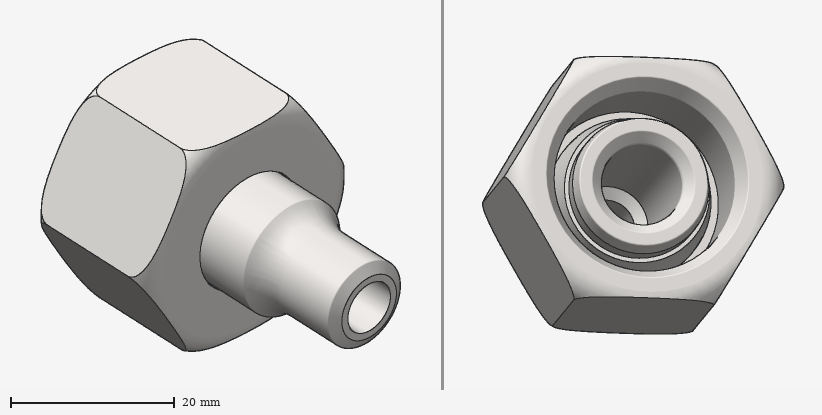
import cadquery as cq
import math

TOTAL_LENGTH = 42.25
EDGE_ROUNDING = 0.2

NUT_LENGTH = 20.5
ACROSS_FLATS = 30.03
ACROSS_CORNERS = ACROSS_FLATS / math.cos(math.pi / 6)
CORNER_ROUNDING = 3.0

MOUTH_DIAMETER = 25.0
THREAD_DIAMETER = 22.4
MOUTH_BEVEL_LENGTH = 2.3
SHOULDER_X = 13.95
SHANK_HOLE_DIAMETER = 16.2

NOSE_X = 2.7
NOSE_DIAMETER = 15.9
CONE_HALF_ANGLE = 12.0
COLLAR_DIAMETER = 20.0

GROOVE_START_DIAMETER = 16.9
GROOVE_END_DIAMETER = 18.0
GROOVE_FLOOR_DIAMETER = 15.0

SHANK_DIAMETER = 15.9
SHANK_END_X = 28.2
TAIL_DIAMETER = 12.0
TAIL_START_X = 32.7
TAIL_BEVEL_LENGTH = 0.9
TAIL_TIP_DIAMETER = 9.0
TAIL_BEVEL_X = TOTAL_LENGTH - TAIL_BEVEL_LENGTH

MAIN_BORE_DIAMETER = 10.0
COUNTERSINK_DIAMETER = 12.7
COUNTERSINK_END_X = NOSE_X + (COUNTERSINK_DIAMETER - MAIN_BORE_DIAMETER) / 2
COUNTERSINK_ROUNDING = 0.5
TAIL_BORE_DIAMETER = 7.0
DRILL_POINT_HALF_ANGLE = 59.0
MAIN_BORE_END_X = SHANK_END_X


def cone_length(small_diameter, large_diameter, half_angle):
    """Axial length of a cone between two diameters."""
    return (large_diameter - small_diameter) / 2 / math.tan(math.radians(half_angle))


def sealing_cone_x(diameter):
    """Place along X where the sealing cone reaches a diameter."""
    return NOSE_X + cone_length(NOSE_DIAMETER, diameter, CONE_HALF_ANGLE)


GROOVE_START_X = sealing_cone_x(GROOVE_START_DIAMETER)
GROOVE_END_X = sealing_cone_x(GROOVE_END_DIAMETER)


def revolve_about_x(profile):
    """Close an (x, radius) profile and revolve it about the X axis."""
    return profile.close().revolve(360, (0, 0, 0), (1, 0, 0))


def round_edge(body, x, diameter, rounding=EDGE_ROUNDING):
    """Round the circular edge of the given diameter at a place along X."""
    tolerance = 0.0005

    def is_wanted(edge):
        return abs(edge.Center().x - x) < tolerance and abs(edge.radius() - diameter / 2) < tolerance

    return body.edges("%CIRCLE").filter(is_wanted).fillet(rounding)


def make_nut():
    """Hexagon nut with rounded corners and a stepped cavity."""
    hexagon = cq.Workplane("YZ").polygon(6, ACROSS_CORNERS).extrude(NUT_LENGTH)
    rounded_drum = (
        cq.Workplane("YZ").circle(ACROSS_CORNERS / 2).extrude(NUT_LENGTH).edges().fillet(CORNER_ROUNDING)
    )
    cavity = revolve_about_x(
        cq.Workplane("XY")
        .lineTo(0, MOUTH_DIAMETER / 2)
        .lineTo(MOUTH_BEVEL_LENGTH, THREAD_DIAMETER / 2)
        .lineTo(SHOULDER_X, THREAD_DIAMETER / 2)
        .lineTo(SHOULDER_X, SHANK_HOLE_DIAMETER / 2)
        .lineTo(NUT_LENGTH, SHANK_HOLE_DIAMETER / 2)
        .lineTo(NUT_LENGTH, 0)
    )
    body = hexagon.intersect(rounded_drum).cut(cavity)
    body = round_edge(body, 0, MOUTH_DIAMETER)
    return round_edge(body, MOUTH_BEVEL_LENGTH, THREAD_DIAMETER)


def neck_middle_point():
    """Middle of the concave neck arc, which runs tangent into the tail."""
    drop = (SHANK_DIAMETER - TAIL_DIAMETER) / 2
    length = TAIL_START_X - SHANK_END_X
    arc_radius = (length**2 + drop**2) / (2 * drop)
    middle_angle = math.asin(length / arc_radius) / 2
    x = TAIL_START_X - arc_radius * math.sin(middle_angle)
    radius = TAIL_DIAMETER / 2 + arc_radius * (1 - math.cos(middle_angle))
    return x, radius


def make_nipple():
    """Hollow nipple with a grooved sealing cone, collar, shank, neck and tail."""
    drill_point_end_x = MAIN_BORE_END_X + cone_length(
        TAIL_BORE_DIAMETER, MAIN_BORE_DIAMETER, DRILL_POINT_HALF_ANGLE
    )
    body = revolve_about_x(
        cq.Workplane("XY")
        .moveTo(NOSE_X, COUNTERSINK_DIAMETER / 2)
        .lineTo(NOSE_X, NOSE_DIAMETER / 2)
        .lineTo(GROOVE_START_X, GROOVE_START_DIAMETER / 2)
        .lineTo(GROOVE_START_X, GROOVE_FLOOR_DIAMETER / 2)
        .lineTo(GROOVE_END_X, GROOVE_FLOOR_DIAMETER / 2)
        .lineTo(GROOVE_END_X, GROOVE_END_DIAMETER / 2)
        .lineTo(sealing_cone_x(COLLAR_DIAMETER), COLLAR_DIAMETER / 2)
        .lineTo(SHOULDER_X, COLLAR_DIAMETER / 2)
        .lineTo(SHOULDER_X, SHANK_DIAMETER / 2)
        .lineTo(SHANK_END_X, SHANK_DIAMETER / 2)
        .threePointArc(neck_middle_point(), (TAIL_START_X, TAIL_DIAMETER / 2))
        .lineTo(TAIL_BEVEL_X, TAIL_DIAMETER / 2)
        .lineTo(TOTAL_LENGTH, TAIL_TIP_DIAMETER / 2)
        .lineTo(TOTAL_LENGTH, TAIL_BORE_DIAMETER / 2)
        .lineTo(drill_point_end_x, TAIL_BORE_DIAMETER / 2)
        .lineTo(MAIN_BORE_END_X, MAIN_BORE_DIAMETER / 2)
        .lineTo(COUNTERSINK_END_X, MAIN_BORE_DIAMETER / 2)
    )
    body = round_edge(body, COUNTERSINK_END_X, MAIN_BORE_DIAMETER, COUNTERSINK_ROUNDING)
    lightly_rounded_edges = (
        (NOSE_X, COUNTERSINK_DIAMETER),
        (NOSE_X, NOSE_DIAMETER),
        (SHANK_END_X, SHANK_DIAMETER),
        (TAIL_BEVEL_X, TAIL_DIAMETER),
    )
    for x, diameter in lightly_rounded_edges:
        body = round_edge(body, x, diameter)
    return body


def make_o_ring():
    """Sealing ring that fills the groove up to its smaller rim."""
    return (
        cq.Workplane("YZ", origin=(GROOVE_START_X, 0, 0))
        .circle(GROOVE_START_DIAMETER / 2)
        .circle(GROOVE_FLOOR_DIAMETER / 2)
        .extrude(GROOVE_END_X - GROOVE_START_X)
    )


nut = make_nut()
nipple = make_nipple()
o_ring = make_o_ring()

result = cq.Compound.makeCompound([nut.solids().val(), nipple.solids().val(), o_ring.val()])